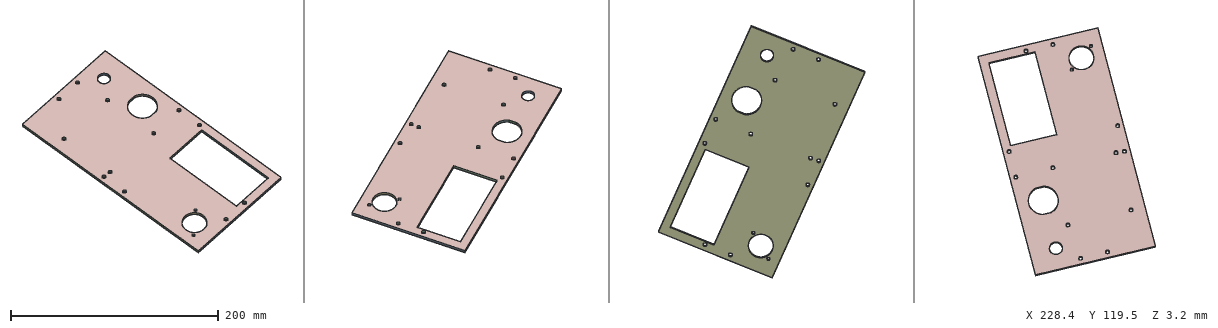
import cadquery as cq

length = 228.4
width = 119.5
thickness = 3.2

edge_hole_diameter = 3.7
edge_hole_inset = 5.7
edge_hole_spacing = 26.7

board_hole_diameter = 3.7
board_spacing_x = 59.8
board_spacing_y = 62.8
board_center = (-42.7, -14.5)

window_length = 86.5
window_width = 46.0
window_center = (62.0, 28.0)

upper_hole_y = 34.0
flatted_hole_x = board_center[0]
flatted_hole_diameter = 28.8
flatted_hole_across_flats = 27.6
small_hole_x = -92.7
small_hole_diameter = 12.5

connector_center = (88.5, -36.8)
connector_diameter = 24.0
screw_diameter = 3.0
screw_offset_x = 9.4
screw_offset_y = 11.9


def round_cutter(points, diameter):
    """Through-thickness cylinders at the given points."""
    return cq.Workplane("XY").pushPoints(points).circle(diameter / 2).extrude(thickness)


def box_cutter(center, size_x, size_y):
    """Through-thickness block at the given centre."""
    return cq.Workplane("XY").center(*center).rect(size_x, size_y).extrude(thickness)


def edge_hole_points():
    half_spacing = edge_hole_spacing / 2
    row_x = length / 2 - edge_hole_inset
    row_y = width / 2 - edge_hole_inset
    points = []
    for side in (-1, 1):
        for end in (-1, 1):
            points.append((side * row_x, end * half_spacing))
            points.append((end * half_spacing, side * row_y))
    return points


def board_hole_points():
    x, y = board_center
    return [
        (x + side * board_spacing_x / 2, y + end * board_spacing_y / 2)
        for side in (-1, 1)
        for end in (-1, 1)
    ]


def screw_points():
    x, y = connector_center
    return [(x + side * screw_offset_x, y - side * screw_offset_y) for side in (-1, 1)]


def flatted_hole_cutter():
    center = (flatted_hole_x, upper_hole_y)
    disc = round_cutter([center], flatted_hole_diameter)
    return disc.intersect(box_cutter(center, flatted_hole_across_flats, flatted_hole_diameter))


panel = cq.Workplane("XY").box(length, width, thickness, centered=(True, True, False))

result = (
    panel.cut(box_cutter(window_center, window_length, window_width))
    .cut(flatted_hole_cutter())
    .cut(round_cutter([(small_hole_x, upper_hole_y)], small_hole_diameter))
    .cut(round_cutter([connector_center], connector_diameter))
    .cut(round_cutter(screw_points(), screw_diameter))
    .cut(round_cutter(edge_hole_points(), edge_hole_diameter))
    .cut(round_cutter(board_hole_points(), board_hole_diameter))
)